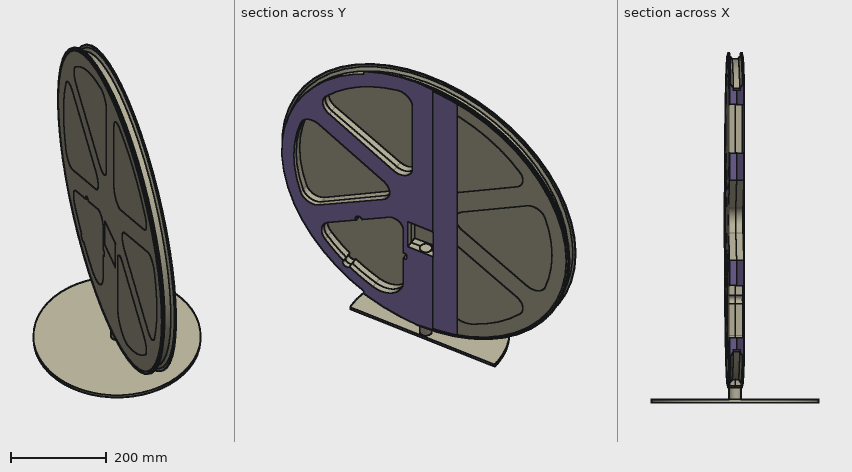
import cadquery as cq
import math

TOTAL_HEIGHT = 731.5
BASE_RADIUS = 175.0
BASE_THICKNESS = 7.0
STEM_RADIUS = 12.8

WHEEL_RADIUS = 350.0
WHEEL_TURN = 1.0
CORE_THICKNESS = 30.0
COVER_THICKNESS = 1.0
COVER_RADIUS = 344.0
GROOVE_FLOOR_RADIUS = 337.0
GROOVE_FLOOR_WIDTH = 13.0
GROOVE_MOUTH_WIDTH = 24.0
RIM_CHAMFER_WIDTH = 2.0
RIM_CHAMFER_DEPTH = 1.0
LIP_HEIGHT = 6.0
BAND_THICKNESS = 4.0
PLUG_HALF_LENGTH = 53.0

WINDOW_COUNT = 6
STEM_SPOKE_ANGLE = 270.0
WINDOW_RADIUS = 309.5
WINDOW_CORNER = 30.0
SPOKE_HALF_WIDTH = 25.0
STEM_SPOKE_HALF_WIDTH = 2 * SPOKE_HALF_WIDTH
STEM_SPOKE_INNER_CORNER = 20.0
STEM_SPOKE_OUTER_CORNER = 50.0
NOTCHED_WINDOW_MARGIN = 3.0
NOTCH_RADIUS = 9.0
STEM_NOTCH_DISTANCE = 166.0
SPOKE_NOTCH_DISTANCE = 189.0
RIM_NOTCH_ANGLE = 234.2
SQUARE_SIDE = 70.0
SQUARE_DROP = 99.0

wheel_height = TOTAL_HEIGHT - WHEEL_RADIUS
half_core = CORE_THICKNESS / 2
window_step = 360 / WINDOW_COUNT
notched_spoke_angle = STEM_SPOKE_ANGLE - window_step
stem_top = wheel_height - SQUARE_DROP - SQUARE_SIDE / 2
band_seat_radius = GROOVE_FLOOR_RADIUS - BAND_THICKNESS


def disc(radius, start, end):
    """Disc about the wheel axis (Y), from y = start to y = end."""
    return cq.Workplane("XZ", origin=(0, start, 0)).circle(radius).extrude(start - end)


def through_core(outline):
    """Extrudes an outline drawn on XZ through the whole core."""
    return outline.extrude(half_core, both=True)


def polar(distance, angle, offset=0.0):
    """Point at a distance along a direction, then offset to the left of it."""
    direction = math.radians(angle)
    x = distance * math.cos(direction) - offset * math.sin(direction)
    z = distance * math.sin(direction) + offset * math.cos(direction)
    return x, z


def window(start_angle, start_gap, end_gap, radius, inner_corner, start_corner, end_corner):
    """Rounded sector between two spokes, given the half width of each spoke."""
    end_angle = start_angle + window_step
    opening = math.radians(window_step)
    apex_distance = (end_gap + start_gap * math.cos(opening)) / math.sin(opening)
    apex = polar(apex_distance, start_angle, start_gap)
    start_tip = polar(math.sqrt(radius**2 - start_gap**2), start_angle, start_gap)
    end_tip = polar(math.sqrt(radius**2 - end_gap**2), end_angle, -end_gap)
    middle = polar(radius, start_angle + window_step / 2)
    outline = cq.Workplane("XZ").moveTo(*apex).lineTo(*start_tip)
    body = through_core(outline.threePointArc(middle, end_tip).close())
    for (x, z), corner in ((apex, inner_corner), (start_tip, start_corner), (end_tip, end_corner)):
        body = body.edges(cq.selectors.NearestToPointSelector((x, 0, z))).fillet(corner)
    return body


def plain_window(start_angle):
    return window(
        start_angle, SPOKE_HALF_WIDTH, SPOKE_HALF_WIDTH, WINDOW_RADIUS,
        WINDOW_CORNER, WINDOW_CORNER, WINDOW_CORNER,
    )


def stem_side_window():
    """Window to the right of the wide spoke that holds the stem."""
    return window(
        STEM_SPOKE_ANGLE, STEM_SPOKE_HALF_WIDTH, SPOKE_HALF_WIDTH, WINDOW_RADIUS,
        STEM_SPOKE_INNER_CORNER, STEM_SPOKE_OUTER_CORNER, WINDOW_CORNER,
    )


def notched_window():
    """Window to the left of the stem spoke: slightly larger, with a round notch in each side."""
    margin = NOTCHED_WINDOW_MARGIN
    stem_gap = STEM_SPOKE_HALF_WIDTH - margin
    spoke_gap = SPOKE_HALF_WIDTH - margin
    radius = WINDOW_RADIUS + margin
    body = window(
        notched_spoke_angle, spoke_gap, stem_gap, radius,
        STEM_SPOKE_INNER_CORNER + margin, WINDOW_CORNER + margin, STEM_SPOKE_OUTER_CORNER + margin,
    )
    notch_centers = [
        polar(STEM_NOTCH_DISTANCE, STEM_SPOKE_ANGLE, -stem_gap),
        polar(SPOKE_NOTCH_DISTANCE, notched_spoke_angle, spoke_gap),
        polar(radius, RIM_NOTCH_ANGLE),
    ]
    notches = cq.Workplane("XZ").pushPoints(notch_centers).circle(NOTCH_RADIUS)
    return body.union(through_core(notches))


def plug():
    """Block that covers the stretch of groove left filled at the bottom."""
    bottom = cq.Workplane("XY").workplane(offset=-WHEEL_RADIUS)
    return bottom.rect(2 * PLUG_HALF_LENGTH, CORE_THICKNESS).extrude(WHEEL_RADIUS)


def groove():
    """Rim groove with flared walls, interrupted by the plug at the bottom."""
    floor = GROOVE_FLOOR_WIDTH / 2
    mouth = GROOVE_MOUTH_WIDTH / 2
    lip_radius = WHEEL_RADIUS - LIP_HEIGHT
    section = [
        (band_seat_radius, -floor),
        (GROOVE_FLOOR_RADIUS, -floor),
        (lip_radius, -mouth),
        (WHEEL_RADIUS, -mouth),
        (WHEEL_RADIUS, mouth),
        (lip_radius, mouth),
        (GROOVE_FLOOR_RADIUS, floor),
        (band_seat_radius, floor),
    ]
    ring = cq.Workplane("XY").polyline(section).close().revolve(360, (0, 0, 0), (0, 1, 0))
    return ring.cut(plug())


def in_place(body):
    """Turns a wheel body about the vertical axis and lifts it onto the stem."""
    return body.rotate((0, 0, 0), (0, 0, 1), WHEEL_TURN).translate((0, 0, wheel_height))


def make_base():
    return cq.Workplane("XY").circle(BASE_RADIUS).extrude(BASE_THICKNESS)


def make_stem():
    stem = cq.Workplane("XY").workplane(offset=BASE_THICKNESS).circle(STEM_RADIUS)
    return stem.extrude(stem_top - BASE_THICKNESS)


def chamfered_blank():
    """Whole core as a plain disc with both outer edges chamfered."""
    rim_end = half_core - RIM_CHAMFER_DEPTH
    face_radius = WHEEL_RADIUS - RIM_CHAMFER_WIDTH
    section = [
        (0, -half_core),
        (face_radius, -half_core),
        (WHEEL_RADIUS, -rim_end),
        (WHEEL_RADIUS, rim_end),
        (face_radius, half_core),
        (0, half_core),
    ]
    return cq.Workplane("XY").polyline(section).close().revolve(360, (0, 0, 0), (0, 1, 0))


def make_core_half(start, end):
    """Half of the core, from y = start to y = end."""
    half = chamfered_blank().intersect(disc(WHEEL_RADIUS, start, end)).cut(groove())
    for index in range(1, WINDOW_COUNT - 1):
        half = half.cut(plain_window(STEM_SPOKE_ANGLE + index * window_step))
    half = half.cut(stem_side_window()).cut(notched_window())
    square = cq.Workplane("XZ").center(0, -SQUARE_DROP).rect(SQUARE_SIDE, SQUARE_SIDE)
    half = half.cut(through_core(square))
    return in_place(half).cut(make_stem()).solids()


def make_band():
    """Thin band on the groove floor, open at the plug."""
    floor = GROOVE_FLOOR_WIDTH / 2
    ring = disc(GROOVE_FLOOR_RADIUS, -floor, floor).cut(disc(band_seat_radius, -floor, floor))
    return in_place(ring.cut(plug())).solids()


def make_cover(start, end):
    return in_place(disc(COVER_RADIUS, start, end))


base = make_base()
stem = make_stem()
front_core = make_core_half(-half_core, 0)
back_core = make_core_half(0, half_core)
band = make_band()
front_cover = make_cover(-half_core - COVER_THICKNESS, -half_core)
back_cover = make_cover(half_core, half_core + COVER_THICKNESS)

result = cq.Compound.makeCompound(
    [
        base.val(),
        stem.val(),
        front_core.val(),
        back_core.val(),
        band.val(),
        front_cover.val(),
        back_cover.val(),
    ]
)